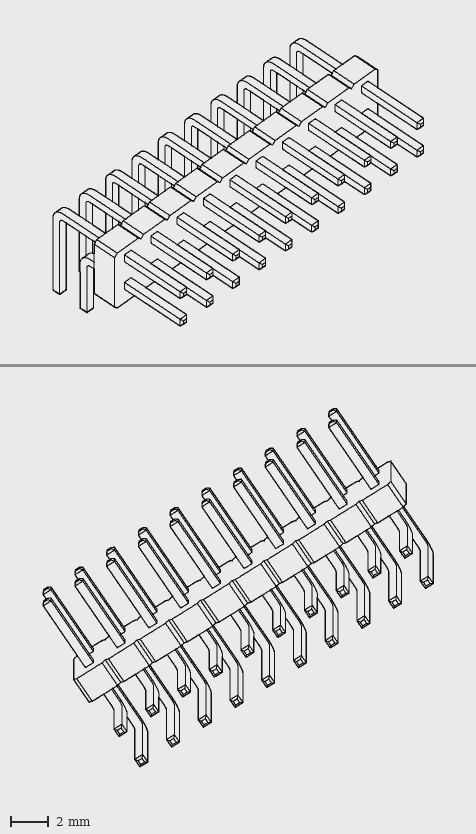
import cadquery as cq


pin_count = 10
pitch = 2.0

body_depth = 1.5
body_length = pin_count * pitch
body_height = 4.0
corner_cut = 0.2

pin_size = 0.5
inner_bend = pin_size / 2
outer_bend = inner_bend + pin_size
tip_length = pin_size / 4
tip_size = pin_size - 2 * tip_length

top_gap = 0.5
front_reach = 4.2
leg_setback = 3.5
leg_drop = 5.9

upper_arm_z = body_height / 2 - top_gap - pin_size / 2
lower_arm_z = upper_arm_z - pitch
outer_leg_x = -body_depth / 2 - leg_setback
inner_leg_x = outer_leg_x + pitch
arm_end_x = body_depth / 2 + front_reach - tip_length
leg_end_z = upper_arm_z - leg_drop + tip_length


def make_block():
    """One pitch of the insulator, with its four edges along X chamfered."""
    block = cq.Workplane("XY").box(body_depth, pitch, body_height)
    return block.edges("|X").chamfer(corner_cut)


def add_tip(pin, end):
    """Add a short tapered tip to the end face picked by the selector."""
    return (
        pin.faces(end)
        .workplane(centerOption="CenterOfMass")
        .rect(pin_size, pin_size)
        .workplane(offset=tip_length)
        .rect(tip_size, tip_size)
        .loft()
    )


def make_pin(leg_x, arm_z):
    """A square pin: a vertical leg at leg_x bent into a horizontal arm at arm_z."""
    half = pin_size / 2
    shank = (
        cq.Workplane("XZ")
        .moveTo(leg_x - half, leg_end_z)
        .lineTo(leg_x - half, arm_z + half - outer_bend)
        .radiusArc((leg_x - half + outer_bend, arm_z + half), outer_bend)
        .lineTo(arm_end_x, arm_z + half)
        .lineTo(arm_end_x, arm_z - half)
        .lineTo(leg_x + half + inner_bend, arm_z - half)
        .radiusArc((leg_x + half, arm_z - half - inner_bend), -inner_bend)
        .lineTo(leg_x + half, leg_end_z)
        .close()
        .extrude(half, both=True)
    )
    return add_tip(add_tip(shank, ">X"), "<Z")


outer_pin = make_pin(outer_leg_x, upper_arm_z)
inner_pin = make_pin(inner_leg_x, lower_arm_z)
unit = make_block().union(outer_pin).union(inner_pin)

result = cq.Workplane("XY")
for index in range(pin_count):
    unit_y = (index + 0.5) * pitch - body_length / 2
    result = result.union(unit.translate((0, unit_y, 0)))
result = result.clean()